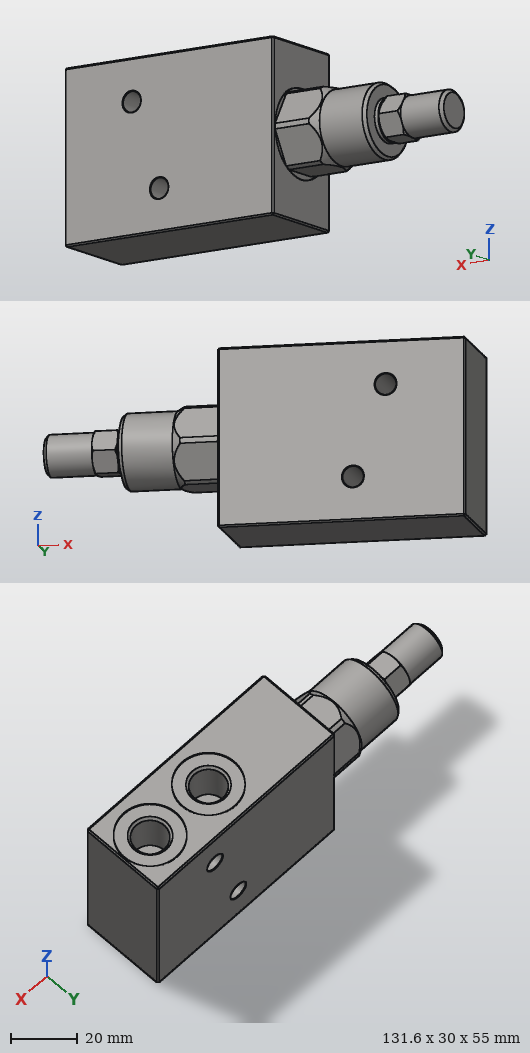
import cadquery as cq
import math

total_length = 131.6
block_width = 30.0
block_height = 55.0
block_start = 55.5
block_chamfer = 0.5

rod_diameter = 13.0
rod_chamfer = 1.0
nut_start = 15.0
nut_end = 22.9
nut_flats = 12.9
nut_turn = 4.0
nut_bevel_angle = 60.0
neck_diameter = 14.0

collar_start = 24.2
collar_diameter = 23.5
collar_nose_diameter = 22.0
collar_nose_length = 1.2

hex_start = 40.9
hex_flats = 24.0
hex_corner_diameter = 26.7
hex_cone_angle = 30.0

seat_depth = 0.5
cartridge_seat_diameter = 28.0
port_seat_diameter = 22.0

port_positions = [94.6, 119.6]
port_diameter = 11.8
port_mouth_diameter = 13.5
port_depth = 15.8

mounting_positions = [(107.1, 14.0), (97.1, -14.0)]
mounting_diameter = 6.5
mounting_chamfer = 0.2


def cylinder_x(start, end, diameter):
    """Cylinder on the valve axis from X = start to X = end."""
    return cq.Workplane("YZ", origin=(start, 0, 0)).circle(diameter / 2).extrude(end - start)


def hexagon_x(start, end, flats):
    """Hexagonal bar on the valve axis with its corners towards +Y and -Y."""
    across_corners = flats / math.cos(math.pi / 6)
    return cq.Workplane("YZ", origin=(start, 0, 0)).polygon(6, across_corners).extrude(end - start)


def revolve_about_x(profile):
    """Solid of revolution about the valve axis from (X, radius) points."""
    return cq.Workplane("XY").polyline(profile).close().revolve(360, (0, 0, 0), (1, 0, 0))


def make_block():
    length = total_length - block_start
    block = cq.Workplane("XY").box(length, block_width, block_height)
    block = block.edges().chamfer(block_chamfer)
    return block.translate((block_start + length / 2, 0, 0))


def cut_cartridge_seat(block):
    return block.cut(cylinder_x(block_start, block_start + seat_depth, cartridge_seat_diameter))


def make_port_cutter(x):
    """Revolved tool: shallow seat, 45 degree mouth and blind bore."""
    seat_z = block_height / 2 - seat_depth
    bore_radius = port_diameter / 2
    mouth_radius = port_mouth_diameter / 2
    profile = [
        (0, block_height / 2),
        (port_seat_diameter / 2, block_height / 2),
        (port_seat_diameter / 2, seat_z),
        (mouth_radius, seat_z),
        (bore_radius, seat_z - (mouth_radius - bore_radius)),
        (bore_radius, block_height / 2 - port_depth),
        (0, block_height / 2 - port_depth),
    ]
    tool = cq.Workplane("XZ").polyline(profile).close().revolve(360, (0, 0, 0), (0, 1, 0))
    return tool.translate((x, 0, 0))


def make_mounting_cutter(x, z):
    """Revolved tool: through bore along Y with a small chamfer at both faces."""
    face_y = block_width / 2
    bore_radius = mounting_diameter / 2
    rim_radius = bore_radius + mounting_chamfer
    profile = [
        (0, -face_y),
        (rim_radius, -face_y),
        (bore_radius, -face_y + mounting_chamfer),
        (bore_radius, face_y - mounting_chamfer),
        (rim_radius, face_y),
        (0, face_y),
    ]
    tool = cq.Workplane("XY").polyline(profile).close().revolve(360, (0, 0, 0), (0, 1, 0))
    return tool.translate((x, 0, z))


def make_lock_nut():
    """Hexagonal nut whose corners are bevelled by cones at both ends."""
    corner_radius = nut_flats / 2 / math.cos(math.pi / 6)
    end_radius = rod_diameter / 2
    bevel_length = (corner_radius - end_radius) / math.tan(math.radians(nut_bevel_angle))
    envelope = revolve_about_x([
        (nut_start, 0),
        (nut_start, end_radius),
        (nut_start + bevel_length, corner_radius),
        (nut_end - bevel_length, corner_radius),
        (nut_end, end_radius),
        (nut_end, 0),
    ])
    nut = hexagon_x(nut_start, nut_end, nut_flats).intersect(envelope)
    return nut.rotate((0, 0, 0), (1, 0, 0), nut_turn)


def make_adjuster():
    rod = cylinder_x(0, nut_start, rod_diameter).faces("<X").chamfer(rod_chamfer)
    neck = cylinder_x(nut_end, collar_start, neck_diameter)
    return rod.union(make_lock_nut()).union(neck)


def make_collar():
    """Cylinder with a tapered nose facing the adjuster."""
    collar_radius = collar_diameter / 2
    return revolve_about_x([
        (collar_start, 0),
        (collar_start, collar_nose_diameter / 2),
        (collar_start + collar_nose_length, collar_radius),
        (hex_start, collar_radius),
        (hex_start, 0),
    ])


def make_cartridge_hexagon():
    end = block_start + seat_depth
    corner_radius = hex_corner_diameter / 2
    cone_radius = collar_diameter / 2
    cone_length = (corner_radius - cone_radius) / math.tan(math.radians(hex_cone_angle))
    envelope = revolve_about_x([
        (hex_start, 0),
        (hex_start, cone_radius),
        (hex_start + cone_length, corner_radius),
        (end, corner_radius),
        (end, 0),
    ])
    return hexagon_x(hex_start, end, hex_flats).intersect(envelope)


body = cut_cartridge_seat(make_block())
for port_x in port_positions:
    body = body.cut(make_port_cutter(port_x))
for hole_x, hole_z in mounting_positions:
    body = body.cut(make_mounting_cutter(hole_x, hole_z))

result = body.union(make_cartridge_hexagon()).union(make_collar()).union(make_adjuster())